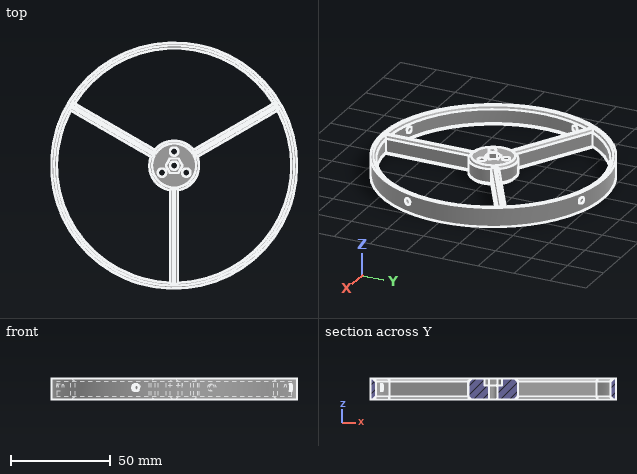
import cadquery as cq
import math

height = 10.6
rim_diameter = 123
rim_thickness = 3.0
hub_diameter = 25.0
spoke_width = 4.0
edge_chamfer = 1.5

hole_diameter = 4.0
hub_hole_count = 3
hub_hole_circle_radius = 7.0
nut_across_flats = 7.3
nut_pocket_depth = 3.5

rim_hole_count = 4
rim_hole_diameter = 3.5
rim_hole_height = 6.0
rim_hole_start_angle = -18.3

spoke_angles = [30, 150, 270]

rim_radius = rim_diameter / 2
rim_inner_radius = rim_radius - rim_thickness
rim_middle_radius = rim_radius - rim_thickness / 2
nut_across_corners = nut_across_flats / math.cos(math.radians(30))


def make_rim():
    """Ring with chamfers around its upper and lower inner edges."""
    ring = cq.Workplane("XY").circle(rim_radius).circle(rim_inner_radius).extrude(height)
    inner_edges = ring.edges("%CIRCLE").edges(cq.selectors.RadiusNthSelector(0))
    return inner_edges.chamfer(edge_chamfer)


def make_hub():
    """Disc with chamfered upper and lower edges."""
    disc = cq.Workplane("XY").circle(hub_diameter / 2).extrude(height)
    return disc.edges("%CIRCLE").chamfer(edge_chamfer)


def make_spoke(angle):
    """Bar from the centre into the rim, with all four long edges chamfered."""
    bar = cq.Workplane("XY").box(rim_middle_radius, spoke_width, height, centered=(False, True, False))
    bar = bar.edges("|X").chamfer(edge_chamfer)
    return bar.rotate((0, 0, 0), (0, 0, 1), angle)


def make_hub_cutter():
    """Bolt holes, centre bore and hexagonal nut pocket."""
    holes = (
        cq.Workplane("XY")
        .polarArray(hub_hole_circle_radius, 90, 360, hub_hole_count)
        .circle(hole_diameter / 2)
        .extrude(height)
    )
    bore = cq.Workplane("XY").circle(hole_diameter / 2).extrude(height)
    nut_pocket = (
        cq.Workplane("XY", origin=(0, 0, height))
        .polygon(6, nut_across_corners)
        .extrude(-nut_pocket_depth)
    )
    return holes.union(bore).union(nut_pocket)


def make_rim_hole_cutter(angle):
    """Radial pin that crosses only the rim."""
    pin = (
        cq.Workplane("YZ", origin=(rim_inner_radius - rim_thickness, 0, rim_hole_height))
        .circle(rim_hole_diameter / 2)
        .extrude(3 * rim_thickness)
    )
    return pin.rotate((0, 0, 0), (0, 0, 1), angle)


result = make_rim().union(make_hub())
for spoke_angle in spoke_angles:
    result = result.union(make_spoke(spoke_angle))

result = result.cut(make_hub_cutter())
for index in range(rim_hole_count):
    hole_angle = rim_hole_start_angle + index * 360 / rim_hole_count
    result = result.cut(make_rim_hole_cutter(hole_angle))